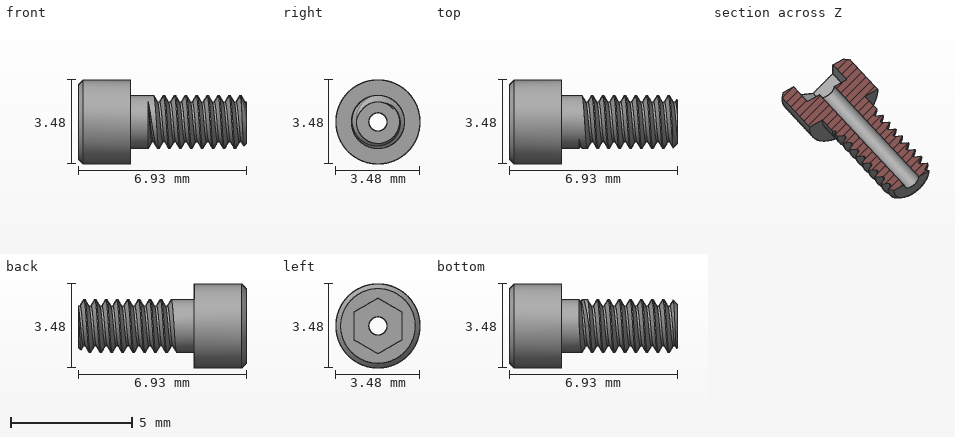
import cadquery as cq
import math

total_length = 6.93
head_diameter = 3.48
head_length = 2.155
head_chamfer = 0.2
shank_diameter = 2.19
tip_chamfer = 0.21
socket_flats = 1.98
socket_depth = 0.97
bore_diameter = 0.74

pitch = 0.45
root_width = 0.09
thread_depth = 0.27
thread_start = 2.875
runout_angle = 138.0
runout_steps = 12
runout_first_scale = 0.02
cutter_overlap = 0.02

shank_radius = shank_diameter / 2
flank_slope = math.tan(math.radians(30))
groove_half_width = root_width / 2 + thread_depth * flank_slope
groove_center = thread_start + groove_half_width


def make_blank():
    """Chamfered head and shank, axis along Z."""
    head = cq.Workplane("XY").circle(head_diameter / 2).extrude(head_length)
    head = head.faces("<Z").chamfer(head_chamfer)
    shank = cq.Workplane("XY").circle(shank_radius).extrude(total_length)
    shank = shank.faces(">Z").chamfer(tip_chamfer)
    return head.union(shank)


def groove_points(scale):
    """Radial and axial corners of the groove, relative to its middle at the shank surface."""
    depth = thread_depth * scale
    half_root = root_width * scale / 2
    half_mouth = groove_half_width * scale + cutter_overlap * flank_slope
    return [
        (-depth, -half_root),
        (cutter_overlap, -half_mouth),
        (cutter_overlap, half_mouth),
        (-depth, half_root),
    ]


def make_thread_cutter():
    """Full-depth groove, running out past the tip."""
    helix_length = total_length + pitch - groove_center
    helix = cq.Wire.makeHelix(pitch, helix_length, shank_radius, center=cq.Vector(0, 0, groove_center))
    profile = cq.Workplane("XZ", origin=(shank_radius, 0, groove_center)).polyline(groove_points(1.0)).close()
    return profile.sweep(cq.Workplane(obj=helix), isFrenet=True)


def runout_section(step):
    """One groove outline in the runout; its front edge stays at thread_start."""
    progress = step / runout_steps
    scale = runout_first_scale + (1 - runout_first_scale) * progress
    angle = math.radians(runout_angle * (progress - 1))
    center = thread_start + groove_half_width * scale
    corners = [
        cq.Vector(
            (shank_radius + radial) * math.cos(angle),
            (shank_radius + radial) * math.sin(angle),
            center + axial,
        )
        for radial, axial in groove_points(scale)
    ]
    return cq.Wire.makePolygon(corners, close=True)


def make_runout_cutter():
    """Start of the groove, growing from nothing to full depth."""
    sections = [runout_section(step) for step in range(runout_steps + 1)]
    return cq.Workplane(obj=cq.Solid.makeLoft(sections, False))


def make_socket():
    """Hexagonal socket with two corners on the local X axis."""
    across_corners = socket_flats / math.cos(math.radians(30))
    return cq.Workplane("XY").polygon(6, across_corners).extrude(socket_depth)


bore = cq.Workplane("XY").circle(bore_diameter / 2).extrude(total_length)

screw = make_blank().cut(make_thread_cutter()).cut(make_runout_cutter())
screw = screw.cut(make_socket()).cut(bore)

result = screw.rotate((0, 0, 0), (0, 1, 0), 90)